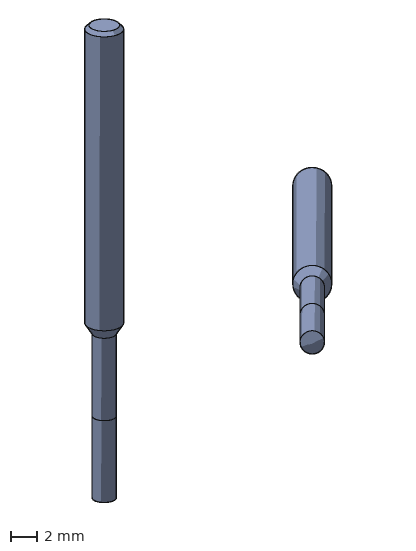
import cadquery as cq

total_length = 40.0
shank_diameter = 3.0
neck_diameter = 1.9

tip_height = 0.3
cutter_length = 7.2
shank_length = 25.0
taper_height = 0.9
top_chamfer = 0.3

shank_radius = shank_diameter / 2
neck_radius = neck_diameter / 2
shank_bottom = total_length - shank_length
neck_top = shank_bottom - taper_height


def make_holder():
    """Chamfered shank tapering down to a slimmer neck."""
    return (
        cq.Workplane("XZ")
        .moveTo(0, cutter_length)
        .lineTo(neck_radius, cutter_length)
        .lineTo(neck_radius, neck_top)
        .lineTo(shank_radius, shank_bottom)
        .lineTo(shank_radius, total_length - top_chamfer)
        .lineTo(shank_radius - top_chamfer, total_length)
        .lineTo(0, total_length)
        .close()
        .revolve(360, (0, 0), (0, 1))
    )


def make_cutter():
    """Cylindrical cutter with a shallow conical tip, butted against the neck."""
    return (
        cq.Workplane("XZ")
        .moveTo(0, 0)
        .lineTo(neck_radius, tip_height)
        .lineTo(neck_radius, cutter_length)
        .lineTo(0, cutter_length)
        .close()
        .revolve(360, (0, 0), (0, 1))
    )


holder = make_holder()
cutter = make_cutter()

result = cq.Compound.makeCompound([holder.val(), cutter.val()])